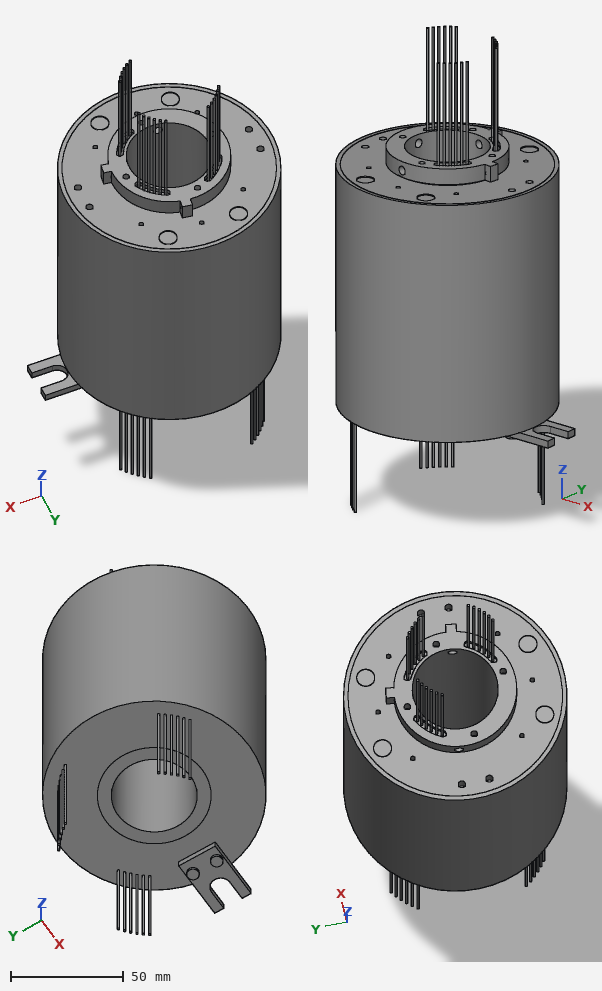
import cadquery as cq
import math


HOUSING_RADIUS = 49.5
HOUSING_HEIGHT = 113.1
RIM_WIDTH = 2.0
RIM_HEIGHT = 0.2
COVER_Z = HOUSING_HEIGHT - RIM_HEIGHT

PLUG_RECESS_DIAMETER = 8.0
PLUG_RECESS_DEPTH = 0.5
PLUG_RECESS_X = 17.1
PLUG_RECESS_Y = 36.8
COVER_SCREW_CIRCLE_RADIUS = 35.0
COVER_SCREW_DIAMETER = 2.0
COVER_SCREW_ANGLES = (45, 90, 135, 225, 270, 315)
MOUNTING_HOLE_X = 41.5
MOUNTING_HOLE_Y = 6.25
MOUNTING_HOLE_DIAMETER = 3.2
BLIND_HOLE_DEPTH = 6.0

FORK_START_X = 35.0
FORK_END_X = 64.5
FORK_WIDTH = 19.2
FORK_THICKNESS = 3.4
FORK_SLOT_WIDTH = 9.6
FORK_SLOT_END_X = 49.7
SCREW_HEAD_DIAMETER = 5.6
SCREW_HEAD_HEIGHT = 1.3

BORE_RADIUS = 19.0
NECK_RADIUS = 25.2
NECK_HEIGHT = 1.0
FLANGE_RADIUS = 27.25
FLANGE_THICKNESS = 7.5
FLANGE_BOTTOM_Z = HOUSING_HEIGHT + NECK_HEIGHT
FLANGE_TOP_Z = FLANGE_BOTTOM_Z + FLANGE_THICKNESS

FLANGE_TURN = 9
QUARTER_TURNS = (0, 90, 180, 270)
FLANGE_HOLE_CIRCLE_RADIUS = 22.8
FLANGE_HOLE_DIAMETER = 2.8
SET_SCREW_DIAMETER = 4.0
SET_SCREW_HEIGHT = 3.2
TAB_ANGLES = (-FLANGE_TURN, 90 - FLANGE_TURN)
TAB_WIDTH = 4.7
TAB_REACH = 30.7

WIRES_PER_BUNDLE = 6
WIRE_DIAMETER = 1.1
ROTOR_BUNDLE_ANGLES = (-45, 45, 135)
ROTOR_WIRE_RADIUS = 21.9
ROTOR_WIRE_PITCH_ANGLE = 6.8
ROTOR_WIRE_LENGTH = 48.3
STATOR_BUNDLE_ANGLES = (45, 135, 225)
STATOR_WIRE_RADIUS = 42.4
STATOR_WIRE_PITCH_ANGLE = 3.85
STATOR_WIRE_LENGTH = 48.2

WIRE_SLOT_WIDTH = 3.0
WIRE_SLOT_DEPTH = 2.0
WIRE_SLOT_SPREAD_ANGLE = 36.0


def polar(radius, angle):
    return (radius * math.cos(math.radians(angle)), radius * math.sin(math.radians(angle)))


def cylinder(radius, bottom_z, height):
    return cq.Workplane("XY", origin=(0, 0, bottom_z)).circle(radius).extrude(height)


def wire_bundles(bundle_angles, radius, pitch_angle, bottom_z, length):
    """Upright wires, evenly spread on an arc about each bundle angle."""
    half_spread = pitch_angle * (WIRES_PER_BUNDLE - 1) / 2
    places = [
        polar(radius, bundle_angle - half_spread + index * pitch_angle)
        for bundle_angle in bundle_angles
        for index in range(WIRES_PER_BUNDLE)
    ]
    return (
        cq.Workplane("XY", origin=(0, 0, bottom_z))
        .pushPoints(places)
        .circle(WIRE_DIAMETER / 2)
        .extrude(length)
    )


def fork():
    middle_x = (FORK_START_X + FORK_END_X) / 2
    plate = (
        cq.Workplane("XY")
        .center(middle_x, 0)
        .rect(FORK_END_X - FORK_START_X, FORK_WIDTH)
        .extrude(-FORK_THICKNESS)
    )
    slot_radius = FORK_SLOT_WIDTH / 2
    slot_center_x = FORK_SLOT_END_X + slot_radius
    slot = (
        cq.Workplane("XY")
        .moveTo(FORK_END_X, slot_radius)
        .lineTo(slot_center_x, slot_radius)
        .threePointArc((FORK_SLOT_END_X, 0), (slot_center_x, -slot_radius))
        .lineTo(FORK_END_X, -slot_radius)
        .close()
        .extrude(-FORK_THICKNESS)
    )
    screw_heads = (
        cq.Workplane("XY", origin=(0, 0, -FORK_THICKNESS))
        .pushPoints([(MOUNTING_HOLE_X, side * MOUNTING_HOLE_Y) for side in (-1, 1)])
        .circle(SCREW_HEAD_DIAMETER / 2)
        .extrude(-SCREW_HEAD_HEIGHT)
    )
    return plate.cut(slot).union(screw_heads)


def build_stator():
    housing = cylinder(HOUSING_RADIUS, 0, HOUSING_HEIGHT)
    cover_recess = cylinder(HOUSING_RADIUS - RIM_WIDTH, COVER_Z, RIM_HEIGHT)
    rotor_space = cylinder(NECK_RADIUS, 0, HOUSING_HEIGHT)
    housing = housing.cut(cover_recess).cut(rotor_space)

    cover = cq.Workplane("XY", origin=(0, 0, COVER_Z))
    plug_recesses = (
        cover.rect(2 * PLUG_RECESS_X, 2 * PLUG_RECESS_Y, forConstruction=True)
        .vertices()
        .circle(PLUG_RECESS_DIAMETER / 2)
        .extrude(-PLUG_RECESS_DEPTH)
    )
    cover_screw_holes = (
        cover.pushPoints([polar(COVER_SCREW_CIRCLE_RADIUS, angle) for angle in COVER_SCREW_ANGLES])
        .circle(COVER_SCREW_DIAMETER / 2)
        .extrude(-BLIND_HOLE_DEPTH)
    )
    mounting_holes = (
        cover.rect(2 * MOUNTING_HOLE_X, 2 * MOUNTING_HOLE_Y, forConstruction=True)
        .vertices()
        .circle(MOUNTING_HOLE_DIAMETER / 2)
        .extrude(-BLIND_HOLE_DEPTH)
    )
    housing = housing.cut(plug_recesses).cut(cover_screw_holes).cut(mounting_holes)

    wires = wire_bundles(
        STATOR_BUNDLE_ANGLES,
        STATOR_WIRE_RADIUS,
        STATOR_WIRE_PITCH_ANGLE,
        -STATOR_WIRE_LENGTH,
        STATOR_WIRE_LENGTH,
    )
    return housing.union(fork()).union(wires)


def flange_tab(angle):
    """A block on the flange rim, as thick as the flange, reaching outward at the given angle."""
    return (
        cq.Workplane("XY", origin=(0, 0, FLANGE_BOTTOM_Z))
        .center((NECK_RADIUS + TAB_REACH) / 2, 0)
        .rect(TAB_REACH - NECK_RADIUS, TAB_WIDTH)
        .extrude(FLANGE_THICKNESS)
        .rotate((0, 0, 0), (0, 0, 1), angle)
    )


def wire_slot(bundle_angle):
    """An arc slot with round ends, sunk from the flange top."""
    half_spread = WIRE_SLOT_SPREAD_ANGLE / 2
    start_angle = bundle_angle - half_spread
    end_angle = bundle_angle + half_spread
    inner_radius = ROTOR_WIRE_RADIUS - WIRE_SLOT_WIDTH / 2
    outer_radius = ROTOR_WIRE_RADIUS + WIRE_SLOT_WIDTH / 2
    end_bulge = math.degrees(WIRE_SLOT_WIDTH / 2 / ROTOR_WIRE_RADIUS)
    return (
        cq.Workplane("XY", origin=(0, 0, FLANGE_TOP_Z))
        .moveTo(*polar(inner_radius, start_angle))
        .threePointArc(polar(inner_radius, bundle_angle), polar(inner_radius, end_angle))
        .threePointArc(polar(ROTOR_WIRE_RADIUS, end_angle + end_bulge), polar(outer_radius, end_angle))
        .threePointArc(polar(outer_radius, bundle_angle), polar(outer_radius, start_angle))
        .threePointArc(polar(ROTOR_WIRE_RADIUS, start_angle - end_bulge), polar(inner_radius, start_angle))
        .close()
        .extrude(-WIRE_SLOT_DEPTH)
    )


def set_screw_hole(angle):
    """A radial hole from the bore out through the flange rim."""
    return (
        cq.Workplane("YZ", origin=(0, 0, FLANGE_BOTTOM_Z + SET_SCREW_HEIGHT))
        .circle(SET_SCREW_DIAMETER / 2)
        .extrude(FLANGE_RADIUS)
        .rotate((0, 0, 0), (0, 0, 1), angle)
    )


def build_rotor():
    rotor = cylinder(NECK_RADIUS, 0, FLANGE_TOP_Z)
    rotor = rotor.union(cylinder(FLANGE_RADIUS, FLANGE_BOTTOM_Z, FLANGE_THICKNESS))
    for angle in TAB_ANGLES:
        rotor = rotor.union(flange_tab(angle))
    rotor = rotor.cut(cylinder(BORE_RADIUS, 0, FLANGE_TOP_Z))

    for quarter_turn in QUARTER_TURNS:
        rotor = rotor.cut(set_screw_hole(quarter_turn - FLANGE_TURN))
    hole_angles = [quarter_turn + FLANGE_TURN for quarter_turn in QUARTER_TURNS]
    flange_holes = (
        cq.Workplane("XY", origin=(0, 0, FLANGE_TOP_Z))
        .pushPoints([polar(FLANGE_HOLE_CIRCLE_RADIUS, angle) for angle in hole_angles])
        .circle(FLANGE_HOLE_DIAMETER / 2)
        .extrude(-BLIND_HOLE_DEPTH)
    )
    rotor = rotor.cut(flange_holes)

    for bundle_angle in ROTOR_BUNDLE_ANGLES:
        rotor = rotor.cut(wire_slot(bundle_angle))
    wires = wire_bundles(
        ROTOR_BUNDLE_ANGLES,
        ROTOR_WIRE_RADIUS,
        ROTOR_WIRE_PITCH_ANGLE,
        FLANGE_TOP_Z - WIRE_SLOT_DEPTH,
        WIRE_SLOT_DEPTH + ROTOR_WIRE_LENGTH,
    )
    return rotor.union(wires)


stator = build_stator()
rotor = build_rotor()
result = cq.Compound.makeCompound([stator.solids().val(), rotor.solids().val()])